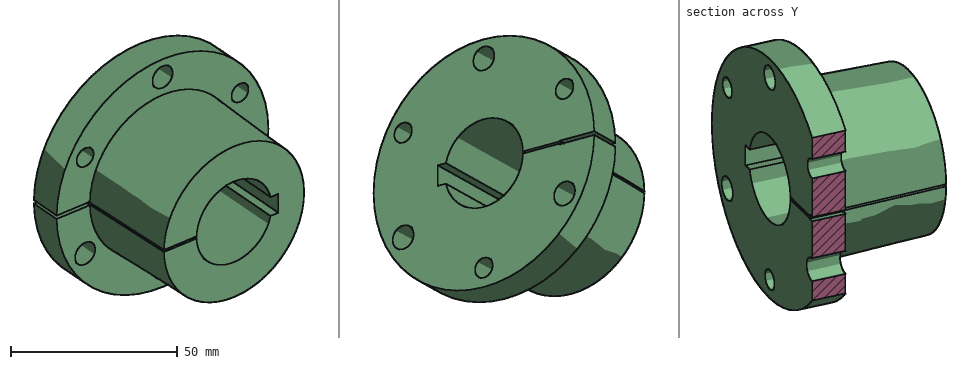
import cadquery as cq
import math

flange_diameter = 81.0
flange_thickness = 11.2
total_length = 46.1
hub_base_diameter = 55.6
hub_end_diameter = 53.6

bore_diameter = 28.7
keyway_width = 6.7
keyway_reach = 16.9

bolt_circle_radius = 34.2
clearance_hole_diameter = 7.7
jacking_hole_diameter = 6.5
holes_per_size = 3

hub_slit_width = 0.7
flange_slit_width = 1.2


def make_body():
    """Revolve the flange and hub about the X axis."""
    return (
        cq.Workplane("XY")
        .moveTo(0, 0)
        .lineTo(0, flange_diameter / 2)
        .lineTo(flange_thickness, flange_diameter / 2)
        .lineTo(flange_thickness, hub_base_diameter / 2)
        .lineTo(total_length, hub_end_diameter / 2)
        .lineTo(total_length, 0)
        .close()
        .revolve(360, (0, 0, 0), (1, 0, 0))
    )


def make_bore():
    """Through bore with a keyway on its +Y side."""
    bore = cq.Workplane("YZ").circle(bore_diameter / 2).extrude(total_length)
    keyway = (
        cq.Workplane("YZ")
        .center(keyway_reach / 2, 0)
        .rect(keyway_reach, keyway_width)
        .extrude(total_length)
    )
    return bore.union(keyway)


def make_slit():
    """Stepped slit on the -Y side that splits the full length from bore to rim."""
    hub_radius = hub_base_diameter / 2
    rim_radius = flange_diameter / 2
    hub_slit = (
        cq.Workplane("YZ")
        .center(-hub_radius / 2, 0)
        .rect(hub_radius, hub_slit_width)
        .extrude(total_length)
    )
    flange_slit = (
        cq.Workplane("YZ")
        .center(-(hub_radius + rim_radius) / 2, 0)
        .rect(rim_radius - hub_radius, flange_slit_width)
        .extrude(flange_thickness)
    )
    return hub_slit.union(flange_slit)


def make_flange_holes(diameter, start_angle):
    """Equally spaced holes through the flange, angles measured from +Y."""
    spacing = 360 / holes_per_size
    angles = [math.radians(start_angle + i * spacing) for i in range(holes_per_size)]
    centers = [
        (bolt_circle_radius * math.cos(a), bolt_circle_radius * math.sin(a))
        for a in angles
    ]
    return (
        cq.Workplane("YZ")
        .pushPoints(centers)
        .circle(diameter / 2)
        .extrude(flange_thickness)
    )


result = (
    make_body()
    .cut(make_bore())
    .cut(make_slit())
    .cut(make_flange_holes(clearance_hole_diameter, 90))
    .cut(make_flange_holes(jacking_hole_diameter, 30))
)